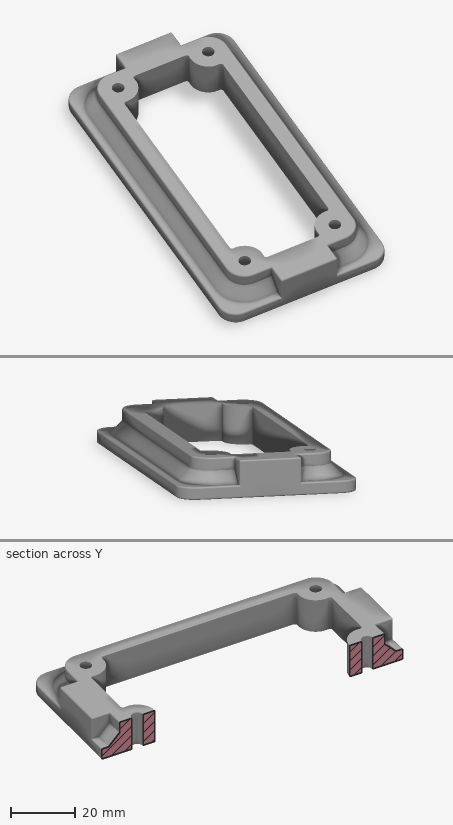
import cadquery as cq

length = 109.0
width = 58.0
height = 12.0

flange_height = 4.0
flange_corner_radius = 6.0

wall_length = 96.0
wall_width = 45.1
wall_corner_radius = 6.3
skirt_top = 8.0
skirt_angle = 45
skirt_reach = skirt_top - flange_height
foot_length = wall_length + 2 * skirt_reach
foot_width = wall_width + 2 * skirt_reach
foot_corner_radius = wall_corner_radius + skirt_reach

end_block_width = 20.0

opening_length = 87.0
opening_width = 35.0
hole_spacing_x = 83.1
hole_spacing_y = 32.0
hole_diameter = 3.9
boss_radius = 6.3
boss_blend = 0.9

edge_radius = 0.5

tolerance = 0.01


def rounded_plate(size_x, size_y, bottom, top, radius, taper=0):
    """Centred plate with rounded corners between two heights, optionally tapered."""
    outline = cq.Sketch().rect(size_x, size_y).vertices().fillet(radius)
    return cq.Workplane("XY", origin=(0, 0, bottom)).placeSketch(outline).extrude(top - bottom, taper=taper)


def make_body():
    """Solid outer shape with sharp outer edges."""
    flange = rounded_plate(length, width, 0, flange_height, flange_corner_radius)
    skirt = rounded_plate(foot_length, foot_width, flange_height, skirt_top, foot_corner_radius, skirt_angle)
    wall = rounded_plate(wall_length, wall_width, flange_height, height, wall_corner_radius)
    end_blocks = cq.Workplane("XY").box(length, end_block_width, height, centered=(True, True, False))
    return flange.union(skirt).union(wall).union(end_blocks).clean()


def is_outer_edge(edge):
    """True for the top and bottom outlines, the flange rim and the end block corners."""
    box = edge.BoundingBox()
    farthest_x = max(abs(box.xmin), abs(box.xmax))
    farthest_y = max(abs(box.ymin), abs(box.ymax))
    reaches_side = farthest_x > length / 2 - tolerance or farthest_y > width / 2 - tolerance
    level = box.zlen < tolerance
    upright = box.xlen < tolerance and box.ylen < tolerance

    on_outline = level and (box.zmax < tolerance or box.zmin > height - tolerance)
    across_rim = box.ylen < tolerance and farthest_y < width / 2 - tolerance
    on_rim = level and reaches_side and not across_rim
    on_block_corner = upright and reaches_side and box.zmax > height - tolerance
    return on_outline or on_rim or on_block_corner


def round_outer_edges(body):
    edges = [edge for edge in body.edges().vals() if is_outer_edge(edge)]
    return body.newObject(edges).fillet(edge_radius)


def screw_cylinders(radius):
    """Full-height cylinders on the four screw axes."""
    return (
        cq.Workplane("XY")
        .rect(hole_spacing_x, hole_spacing_y, forConstruction=True)
        .vertices()
        .circle(radius)
        .extrude(height)
    )


def make_opening():
    """Through opening that leaves a round boss at each screw, blended into the walls."""
    opening = cq.Workplane("XY").rect(opening_length, opening_width).extrude(height)
    opening = opening.cut(screw_cylinders(boss_radius))
    end_corners = opening.faces("<X or >X").edges("|Z")
    side_corners = opening.faces("<Y or >Y").edges("|Z")
    return end_corners.add(side_corners).fillet(boss_blend)


result = round_outer_edges(make_body()).cut(make_opening()).cut(screw_cylinders(hole_diameter / 2))